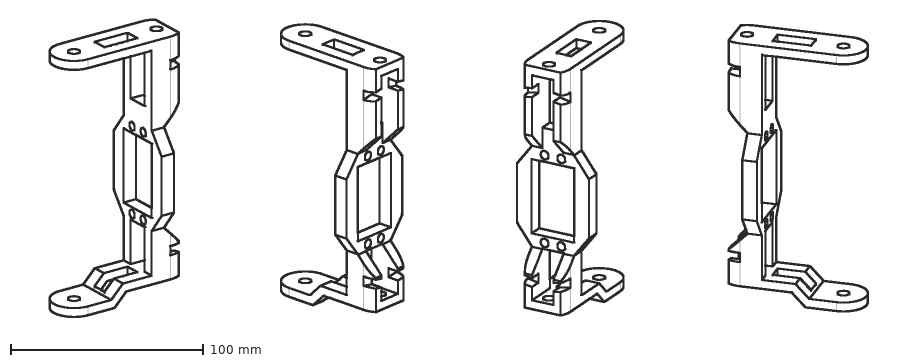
import cadquery as cq
import math

total_height = 144.5
total_length = 71.96
body_width = 25.4
plate_thickness = 5.08
plate_hole_diameter = 6.35
rear_y = 6.75

frame_width = 43.18
frame_thickness = 7.95
frame_rear_y = -4.0
frame_centre_z = 66.0
wing_straight_height = 33.4
wing_full_height = 56.6
servo_window_height = 41.9
servo_hole_diameter = 4.7
servo_hole_spacing_x = 10.0
servo_hole_spacing_z = 49.5

hood_margin = 0.2

rail_gap = 12.7
upper_opening_floor_z = 106.0

slot_width = 8.89
slot_rear_y = -15.3
slot_front_y = -36.25

joggle_drop = 7.45
joggle_start_y = -28.2

groove_centre_z = 76.1
groove_inner_radius = 51.45
groove_outer_radius = 56.4

end_radius = body_width / 2
pivot_y = rear_y - total_length + end_radius
tip_y = pivot_y - end_radius
frame_front_y = frame_rear_y - frame_thickness
top_plate_underside = total_height - plate_thickness
bottom_plate_top = joggle_drop + plate_thickness
wing_top_z = frame_centre_z + wing_full_height / 2
wing_bottom_z = frame_centre_z - wing_full_height / 2
upper_hood_end_z = wing_top_z + hood_margin
lower_hood_end_z = wing_bottom_z - hood_margin
joggle_shift = plate_thickness * math.tan(math.radians(45 / 2))


def box_between(width, y_min, y_max, z_min, z_max):
    """Box centred on X that fills the given Y and Z ranges."""
    box = cq.Workplane("XY").box(width, y_max - y_min, z_max - z_min, centered=(True, False, False))
    return box.translate((0, y_min, z_min))


def side_profile(points):
    """Outline in (Y, Z) extruded over the body width, centred on X."""
    return cq.Workplane("YZ").polyline(points).close().extrude(body_width / 2, both=True)


def plan_envelope():
    """Plate outline with rounded ends, cut flat at the rear."""
    stadium = (
        cq.Workplane("XY")
        .moveTo(-end_radius, 0)
        .lineTo(-end_radius, pivot_y)
        .threePointArc((0, tip_y), (end_radius, pivot_y))
        .lineTo(end_radius, 0)
        .threePointArc((0, end_radius), (-end_radius, 0))
        .close()
        .extrude(total_height)
    )
    return stadium.intersect(box_between(body_width, tip_y, rear_y, 0, total_height))


def upper_bracket():
    """Top plate and the rear hood below it, which tapers at 45 degrees into the frame."""
    return side_profile([
        (tip_y, total_height),
        (rear_y, total_height),
        (rear_y, upper_hood_end_z + rear_y - frame_rear_y),
        (frame_rear_y, upper_hood_end_z),
        (frame_rear_y, top_plate_underside),
        (tip_y, top_plate_underside),
    ])


def lower_bracket():
    """Joggled bottom plate and the rear hood above it."""
    upper_bend_y = joggle_start_y - joggle_shift
    return side_profile([
        (rear_y, joggle_drop),
        (joggle_start_y, joggle_drop),
        (joggle_start_y - joggle_drop, 0),
        (tip_y, 0),
        (tip_y, plate_thickness),
        (upper_bend_y - joggle_drop, plate_thickness),
        (upper_bend_y, bottom_plate_top),
        (frame_rear_y, bottom_plate_top),
        (frame_rear_y, lower_hood_end_z),
        (rear_y, lower_hood_end_z - rear_y + frame_rear_y),
    ])


def servo_frame():
    """Upright slab with a pair of wings around the servo window."""
    half_body = body_width / 2
    half_frame = frame_width / 2
    half_straight = wing_straight_height / 2
    right_side = [
        (half_body, bottom_plate_top),
        (half_body, wing_bottom_z),
        (half_frame, frame_centre_z - half_straight),
        (half_frame, frame_centre_z + half_straight),
        (half_body, wing_top_z),
        (half_body, top_plate_underside),
    ]
    left_side = [(-x, z) for x, z in reversed(right_side)]
    slab = cq.Workplane("XZ").polyline(right_side + left_side).close().extrude(frame_thickness)
    return slab.translate((0, frame_rear_y, 0))


def servo_cutouts():
    """Servo window and its four mounting holes."""
    half_window = servo_window_height / 2
    window = box_between(
        body_width, frame_front_y, frame_rear_y, frame_centre_z - half_window, frame_centre_z + half_window
    )
    holes = (
        cq.Workplane("XZ")
        .rarray(servo_hole_spacing_x, servo_hole_spacing_z, 2, 2)
        .circle(servo_hole_diameter / 2)
        .extrude(frame_thickness)
        .translate((0, frame_rear_y, frame_centre_z))
    )
    return window.union(holes)


def rail_openings():
    """Gaps between the rails; behind the frame they run on through the tapered hood ends."""
    upper = box_between(rail_gap, frame_front_y, rear_y, upper_opening_floor_z, top_plate_underside)
    lower = box_between(rail_gap, frame_front_y, rear_y, bottom_plate_top, wing_bottom_z)
    upper_hood_end = box_between(rail_gap, frame_rear_y, rear_y, wing_top_z, upper_opening_floor_z)
    return upper.union(lower).union(upper_hood_end)


def plate_cutouts():
    """Front and rear holes and the cable slot, through both plates."""
    holes = (
        cq.Workplane("XY")
        .pushPoints([(0, 0), (0, pivot_y)])
        .circle(plate_hole_diameter / 2)
        .extrude(total_height)
    )
    slot = box_between(slot_width, slot_front_y, slot_rear_y, 0, total_height)
    return holes.union(slot)


def clamp_groove():
    """Ring about a Y axis that cuts the hoods from the rear hole axis backwards."""
    ring = cq.Workplane("XZ").circle(groove_outer_radius).circle(groove_inner_radius).extrude(-rear_y)
    return ring.translate((0, 0, groove_centre_z))


brackets = upper_bracket().union(lower_bracket()).intersect(plan_envelope())
result = (
    brackets.union(servo_frame())
    .cut(servo_cutouts())
    .cut(rail_openings())
    .cut(plate_cutouts())
    .cut(clamp_groove())
)